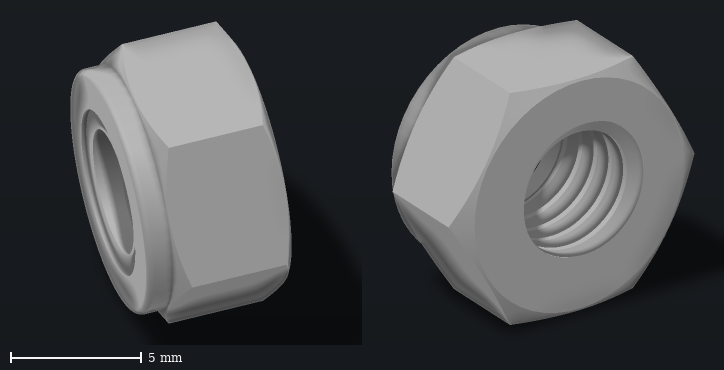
import cadquery as cq
import math

across_flats = 9.9
across_corners = across_flats / math.cos(math.radians(30))
total_length = 5.8
hex_chamfer_angle = 30
collar_length = 1.0
collar_diameter = 9.7
collar_fillet = 0.25

ring_diameter = 6.6
ring_bore = 4.95
ring_start = 0.2
ring_end = 1.0

thread_major = 6.2
thread_pitch = 1.0
sharp_v_height = thread_pitch * math.sqrt(3) / 2
thread_depth = 5 / 8 * sharp_v_height
thread_minor = thread_major - 2 * thread_depth
flank_angle = 30
root_width = thread_pitch / 8
groove_start = 0.3
groove_start_angle = 40
groove_turns = 7
groove_overlap = 0.05
cut_clearance = 1.0


def revolve_about_y(points):
    """Solid of revolution about Y from (radius, y) points."""
    return cq.Workplane("XY").polyline(points).close().revolve(360, (0, 0), (0, 1))


def cylinder(diameter, start, end):
    """Cylinder about Y, between two y positions."""
    radius = diameter / 2
    return revolve_about_y([(0, start), (radius, start), (radius, end), (0, end)])


def chamfered_hexagon():
    """Hexagon with both ends turned down to the collar diameter by cones."""
    hexagon = (
        cq.Workplane("XZ", origin=(0, total_length, 0))
        .polygon(6, across_corners)
        .extrude(total_length - collar_length)
    )
    face_radius = collar_diameter / 2
    outer_radius = across_corners
    drop = (outer_radius - face_radius) * math.tan(math.radians(hex_chamfer_angle))
    envelope = revolve_about_y([
        (0, collar_length),
        (face_radius, collar_length),
        (outer_radius, collar_length + drop),
        (outer_radius, total_length - drop),
        (face_radius, total_length),
        (0, total_length),
    ])
    return hexagon.intersect(envelope)


def collar():
    """Round collar with its outer end edge rounded."""
    return cylinder(collar_diameter, 0, collar_length).faces("<Y").edges().fillet(collar_fillet)


def thread_groove():
    """Helical V groove with a flat root, wound about Y."""
    half_root = root_width / 2
    root_radius = thread_major / 2
    inner_radius = thread_minor / 2 - groove_overlap
    flank_run = (root_radius - inner_radius) * math.tan(math.radians(flank_angle))
    half_mouth = half_root + flank_run
    helix = cq.Wire.makeHelix(thread_pitch, groove_turns * thread_pitch, inner_radius)
    groove = (
        cq.Workplane("XZ")
        .polyline([
            (inner_radius, -half_mouth),
            (root_radius, -half_root),
            (root_radius, half_root),
            (inner_radius, half_mouth),
        ])
        .close()
        .sweep(cq.Workplane(helix), isFrenet=True)
    )
    groove = groove.rotate((0, 0, 0), (1, 0, 0), -90)
    groove = groove.rotate((0, 0, 0), (0, 1, 0), groove_start_angle)
    return groove.translate((0, groove_start, 0))


def threaded_body():
    """Nut body: groove cut into the solid first, then bored to the crests and counterbored."""
    body = chamfered_hexagon().union(collar())
    body = body.cut(thread_groove())
    body = body.cut(cylinder(thread_minor, -cut_clearance, total_length + cut_clearance))
    return body.cut(cylinder(ring_diameter, -cut_clearance, ring_end))


def locking_ring():
    """Plain ring filling the counterbore up to just below the end face."""
    return cylinder(ring_diameter, ring_start, ring_end).cut(cylinder(ring_bore, ring_start, ring_end))


result = threaded_body().union(locking_ring()).solids()